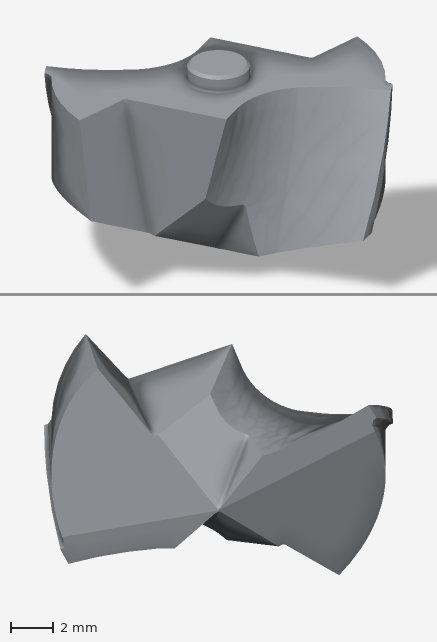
import cadquery as cq
import math

margin_radius = 8.3
body_radius = 7.95
point_depth = 9.06
twist_per_unit = 3.976
slab_half_width = 3.78
corner_radius = 0.17

web_x = 2.12
hook_start = (web_x, -2.32)
hook_middle = (2.54, -0.75)
hook_end = (3.82, 0.66)
rake_middle = (5.73, 1.6)
land_front_y = 2.17
land_back_y = 2.9
step_floor = (7.57, land_back_y)
step_end_y = 3.07

point_slope = 0.348
primary_relief = 0.07
secondary_relief = 0.4

gash_floor_slope_x = 0.95
gash_floor_slope_y = -0.956
gash_wall_normal = (-123.8, -241.7, -35.2)
gash_root_radius = 0.25

trailing_root = (3.17, slab_half_width, 0)
trailing_rim = (4.2, 6.75, 0)
trailing_low = (3.4, 7.17, -5.03)

boss_radius = 1.5
boss_height = 0.83
boss_chamfer = 0.15
boss_base_fillet = 0.13

tip = (0, 0, -point_depth)
cutter_size = 66.4


def on_circle(radius, known):
    return math.sqrt(radius**2 - known**2)


def opposite(point):
    return (-point[0], -point[1])


def half_turn(shape):
    return shape.rotate((0, 0, 0), (0, 0, 1), 180)


def half_space(origin, normal):
    """Large block on the side of a plane that its normal points to."""
    plane = cq.Plane(origin=origin, normal=normal)
    return cq.Workplane(plane).rect(cutter_size, cutter_size).extrude(cutter_size)


def below_tip_plane(slope_x, slope_y):
    return half_space(tip, (slope_x, slope_y, -1))


def fluted_blank():
    land_front = (on_circle(margin_radius, land_front_y), land_front_y)
    land_middle_y = (land_front_y + land_back_y) / 2
    land_middle = (on_circle(margin_radius, land_middle_y), land_middle_y)
    land_back = (on_circle(margin_radius, land_back_y), land_back_y)
    step_end = (on_circle(body_radius, step_end_y), step_end_y)
    body_middle_offset = body_radius * math.sqrt(0.5)
    body_middle = (body_middle_offset, body_middle_offset)
    web_end = (web_x, -on_circle(body_radius, web_x))

    section = cq.Workplane("XY", origin=tip).moveTo(*web_end)
    for side in (lambda point: point, opposite):
        section = (
            section.lineTo(*side(hook_start))
            .threePointArc(side(hook_middle), side(hook_end))
            .threePointArc(side(rake_middle), side(land_front))
            .threePointArc(side(land_middle), side(land_back))
            .lineTo(*side(step_floor))
            .lineTo(*side(step_end))
            .threePointArc(side(body_middle), side(opposite(web_end)))
        )
    twist = twist_per_unit * point_depth
    blank = section.close().twistExtrude(point_depth, twist)
    return blank.rotate((0, 0, 0), (0, 0, 1), -twist)


def trailing_notch():
    """Space beside the web, up to the trailing face of the +X wing."""
    root = cq.Vector(*trailing_root)
    normal = (cq.Vector(*trailing_rim) - root).cross(cq.Vector(*trailing_low) - root)
    if normal.x > 0:
        normal = -normal
    beside_web = half_space((0, slab_half_width, 0), (0, 1, 0))
    notch = beside_web.intersect(half_space(trailing_root, normal.toTuple()))
    inner_corner = cq.selectors.NearestToPointSelector(trailing_root)
    return notch.edges(inner_corner).fillet(corner_radius)


def gash():
    floor_side = below_tip_plane(gash_floor_slope_x, gash_floor_slope_y)
    wedge = floor_side.intersect(half_space(tip, gash_wall_normal))
    root = cq.selectors.NearestToPointSelector(tip)
    return wedge.edges(root).fillet(gash_root_radius)


def boss():
    profile = (
        cq.Workplane("XZ")
        .lineTo(boss_radius + boss_base_fillet, 0)
        .radiusArc((boss_radius, boss_base_fillet), boss_base_fillet)
        .lineTo(boss_radius, boss_height - boss_chamfer)
        .lineTo(boss_radius - boss_chamfer, boss_height)
        .lineTo(0, boss_height)
        .close()
    )
    return profile.revolve(360, (0, 0, 0), (0, 1, 0))


wing_cutters = [
    trailing_notch(),
    below_tip_plane(point_slope, primary_relief),
    below_tip_plane(point_slope, secondary_relief),
    gash(),
]

result = fluted_blank()
for cutter in wing_cutters:
    result = result.cut(cutter).cut(half_turn(cutter))
result = result.union(boss())